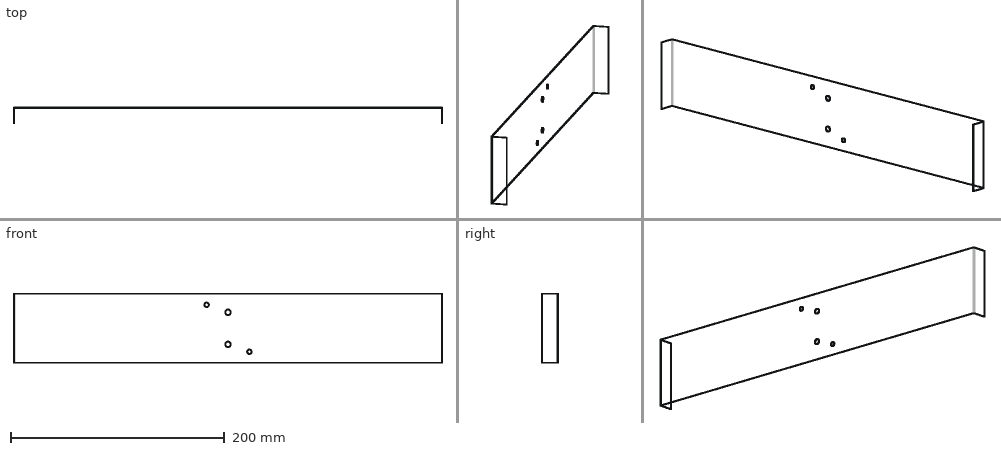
import cadquery as cq

sheet_thickness = 0.8
inside_width = 400.0
height = 65.0
flange_depth = 15.0
bend_inner_radius = 0.5

outside_width = inside_width + 2 * sheet_thickness
bend_outer_radius = bend_inner_radius + sheet_thickness

large_hole_diameter = 5.0
large_hole_offset_z = 15.0
small_hole_diameter = 4.0
small_hole_offset_x = 20.0
small_hole_offset_z = 22.0


def centered_block(width, depth, front_y):
    """Full-height block centred on X and Z, reaching back from front_y."""
    return cq.Workplane("XY").box(width, depth, height).translate((0, front_y + depth / 2, 0))


def bent_sheet():
    """U-shaped sheet, rear face at half the flange depth behind centre, bends rounded inside and outside."""
    front_y = -flange_depth / 2
    outer = centered_block(outside_width, flange_depth, front_y)
    outer = outer.edges("|Z and >Y").fillet(bend_outer_radius)
    inner = centered_block(inside_width, flange_depth - sheet_thickness, front_y)
    inner = inner.edges("|Z and >Y").fillet(bend_inner_radius)
    return outer.cut(inner)


def web_holes(diameter, centers):
    """Cylinders along Y, long enough to pass through the web, at (x, z) centers."""
    return (
        cq.Workplane("XZ")
        .pushPoints(centers)
        .circle(diameter / 2)
        .extrude(flange_depth, both=True)
    )


large_hole_centers = [(0, large_hole_offset_z), (0, -large_hole_offset_z)]
small_hole_centers = [
    (-small_hole_offset_x, small_hole_offset_z),
    (small_hole_offset_x, -small_hole_offset_z),
]

result = (
    bent_sheet()
    .cut(web_holes(large_hole_diameter, large_hole_centers))
    .cut(web_holes(small_hole_diameter, small_hole_centers))
)